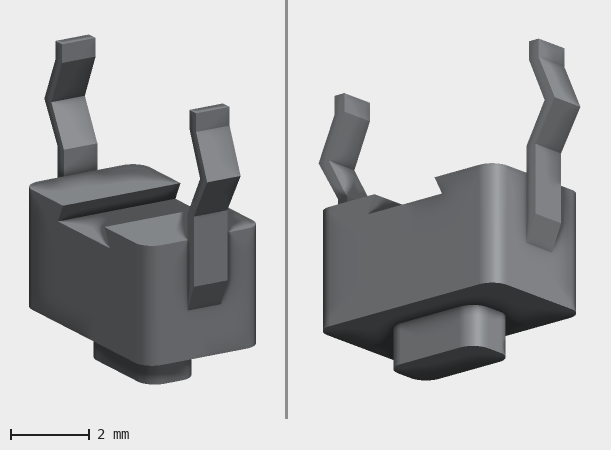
import cadquery as cq

body_length = 6.005
body_width = 3.49
body_height = 3.2
corner_radius = 0.5

groove_top_width = 2.01
groove_floor_width = 2.51
groove_depth = 0.49

button_length = 3.0
button_width = 1.5
button_height = 1.1

lead_width = 0.995
lead_span = 7.9
lead_shank_thickness = 0.3
lead_bend_thickness = 0.34
lead_tip_inner_x = 3.09
lead_tip_thickness = 0.32
lead_foot_z = 1.32
lead_shank_bottom_z = 2.04
lead_shank_top_z = 3.91
lead_bend_z = 5.01
lead_tip_bottom_z = 6.2
lead_top_z = 6.7


def rounded_block(length, width, height):
    """Block on Z = 0 with rounded vertical edges."""
    block = cq.Workplane("XY").box(length, width, height, centered=(True, True, False))
    return block.edges("|Z").fillet(corner_radius)


def make_groove():
    """Dovetail cutter running through the full body width."""
    floor_z = body_height - groove_depth
    outline = [
        (-groove_floor_width / 2, floor_z),
        (groove_floor_width / 2, floor_z),
        (groove_top_width / 2, body_height),
        (-groove_top_width / 2, body_height),
    ]
    return cq.Workplane("XZ").polyline(outline).close().extrude(body_width / 2, both=True)


def make_lead():
    """Lead on the +X end: tapered foot, shank, outward bend and upright tip."""
    inner_x = body_length / 2
    shank_outer_x = inner_x + lead_shank_thickness
    bend_outer_x = lead_span / 2
    tip_outer_x = lead_tip_inner_x + lead_tip_thickness
    outline = [
        (inner_x, lead_foot_z),
        (shank_outer_x, lead_shank_bottom_z),
        (shank_outer_x, lead_shank_top_z),
        (bend_outer_x, lead_bend_z),
        (tip_outer_x, lead_tip_bottom_z),
        (tip_outer_x, lead_top_z),
        (lead_tip_inner_x, lead_top_z),
        (lead_tip_inner_x, lead_tip_bottom_z),
        (bend_outer_x - lead_bend_thickness, lead_bend_z),
        (inner_x, lead_shank_top_z),
    ]
    return cq.Workplane("XZ").polyline(outline).close().extrude(lead_width / 2, both=True)


body = rounded_block(body_length, body_width, body_height).cut(make_groove())
button = rounded_block(button_length, button_width, button_height).translate((0, 0, -button_height))
lead = make_lead()

result = body.union(button).union(lead).union(lead.mirror("YZ"))